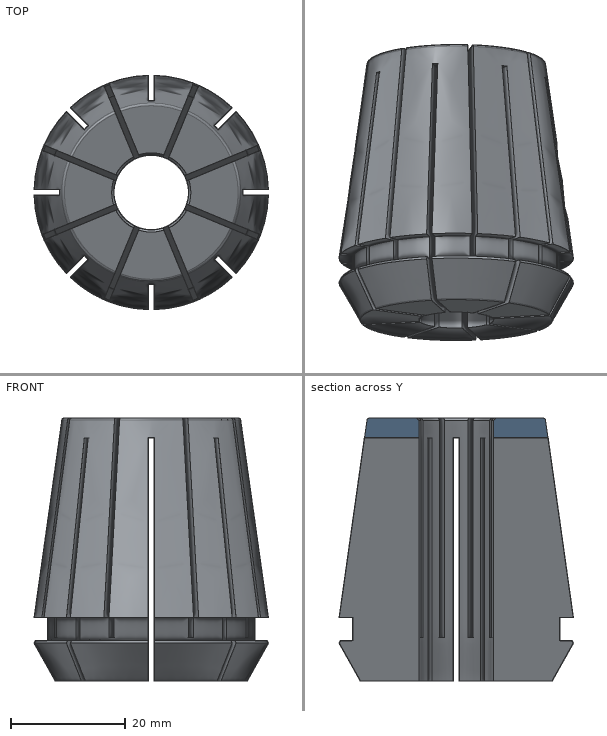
import cadquery as cq
import math

height = 46.0
max_radius = 20.495
bore_radius = 13.0 / 2
bore_chamfer = 0.4

cone_bottom_z = 11.1
cone_half_angle = 8.0
top_radius = max_radius - (height - cone_bottom_z) * math.tan(math.radians(cone_half_angle))
top_fillet = 0.45

groove_radius = 18.12
groove_fillet = 0.15
flange_top_z = 7.1
flange_edge_z = 6.62
flange_edge_chamfer = 0.28
head_bottom_radius = 16.8
head_edge_height = 0.2
head_edge_width = 0.1

slots_per_set = 8
slot_pitch = 360.0 / slots_per_set
slot_width = 0.95
lower_slot_end_z = 42.5
upper_slot_end_z = 7.6
slot_overshoot = 0.45


def make_body():
    """Revolve the solid outer shape: tapered head with a narrow bottom bevel, groove and cone."""
    profile = (
        cq.Workplane("XZ")
        .lineTo(head_bottom_radius, 0)
        .lineTo(head_bottom_radius + head_edge_width, head_edge_height)
        .lineTo(max_radius, flange_edge_z)
        .lineTo(max_radius - flange_edge_chamfer, flange_top_z)
        .lineTo(groove_radius, flange_top_z)
        .lineTo(groove_radius, cone_bottom_z)
        .lineTo(max_radius, cone_bottom_z)
        .lineTo(top_radius, height)
        .lineTo(0, height)
        .close()
    )
    return profile.revolve(360, (0, 0, 0), (0, 1, 0))


def round_edges(body):
    """Round the top rim of the cone and fill the lower corner of the groove."""
    body = body.faces(">Z").edges().fillet(top_fillet)
    groove_wall = body.faces("%CYLINDER")
    return groove_wall.edges("<Z").fillet(groove_fillet)


def cut_bore(body):
    """Drill the through bore and chamfer its top mouth."""
    body = body.cut(cq.Workplane("XY").circle(bore_radius).extrude(height))
    return body.faces(">Z").edges(cq.selectors.RadiusNthSelector(0)).chamfer(bore_chamfer)


def cut_slots(body, bottom_z, top_z, first_angle):
    """Cut one set of evenly spaced radial slots from the bore through the wall."""
    blade = cq.Workplane("XY", origin=(0, 0, bottom_z)).box(
        max_radius + slot_overshoot, slot_width, top_z - bottom_z, centered=(False, True, False)
    )
    for index in range(slots_per_set):
        angle = first_angle + index * slot_pitch
        body = body.cut(blade.rotate((0, 0, 0), (0, 0, 1), angle))
    return body


result = make_body()
result = round_edges(result)
result = cut_bore(result)
result = cut_slots(result, 0, lower_slot_end_z, 0)
result = cut_slots(result, upper_slot_end_z, height, slot_pitch / 2)